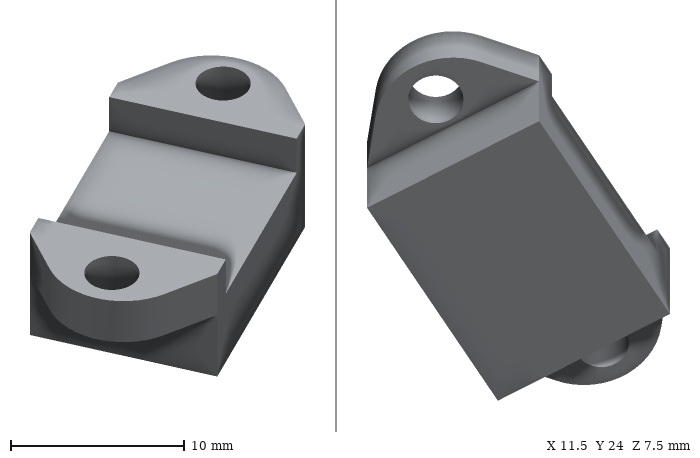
import cadquery as cq
import math

length = 23.97
width = 11.5
height = 7.5

block_length = 14.95
channel_length = 12.05
channel_depth = 2.5

ear_thickness = 3.0
hole_diameter = 3.19
hole_spacing = 18.91

half_width = width / 2
ear_root = block_length / 2
tip_radius = length / 2 - ear_root


def make_block():
    block = cq.Workplane("XY").box(width, block_length, height, centered=(True, True, False))
    channel = (
        cq.Workplane("XY")
        .workplane(offset=height - channel_depth)
        .rect(width, channel_length)
        .extrude(channel_depth)
    )
    return block.cut(channel)


def make_ear(side):
    """Ear at the +Y (side=1) or -Y (side=-1) end of the block."""
    tangent_angle = math.acos(tip_radius / half_width)
    tangent_x = tip_radius * math.cos(tangent_angle)
    tangent_y = side * (ear_root + tip_radius * math.sin(tangent_angle))
    root_y = side * ear_root
    inner_y = side * channel_length / 2
    return (
        cq.Workplane("XY")
        .workplane(offset=height - ear_thickness)
        .moveTo(-half_width, inner_y)
        .lineTo(-half_width, root_y)
        .lineTo(-tangent_x, tangent_y)
        .threePointArc((0, side * length / 2), (tangent_x, tangent_y))
        .lineTo(half_width, root_y)
        .lineTo(half_width, inner_y)
        .close()
        .extrude(ear_thickness)
    )


def make_holes():
    return (
        cq.Workplane("XY")
        .pushPoints([(0, side * hole_spacing / 2) for side in (-1, 1)])
        .circle(hole_diameter / 2)
        .extrude(height)
    )


body = make_block()
for end in (-1, 1):
    body = body.union(make_ear(end))

result = body.cut(make_holes())